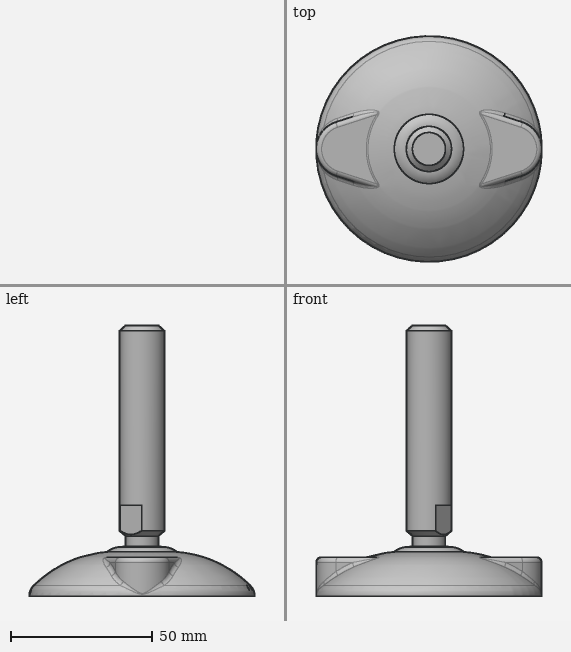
import cadquery as cq
import math

plate_radius = 40.0
rim_bulge_radius, rim_bulge_height = 39.5, 2.2
dome_foot_radius, dome_foot_height = 38.2, 4.0
collar_foot_radius, collar_foot_height = 12.3, 15.8
collar_shoulder_radius, collar_shoulder_height = 10.3, 17.1
collar_top_radius, collar_top_height = 6.7, 17.5

lug_count = 2
lug_top = 13.9
lug_dome_radius = 22.0
lug_nose_radius = 10.0
lug_nose_reach = 39.9
lug_flare_angle = math.radians(18)
lug_inner_x = 11.5
lug_edge_fillet = 1.8
lug_root_fillet = 1.9

stud_diameter = 16.0
neck_diameter = 11.7
ball_diameter = 17.0
ball_flat_diameter = 13.4
ball_flat_height = 17.8
ball_center = ball_flat_height - math.sqrt(ball_diameter**2 - ball_flat_diameter**2) / 2
stud_top = 96.0
tip_chamfer_height = 1.9
neck_top = 21.4
shank_bottom = 23.2
flat_top = 32.2
across_flats = 13.0
flat_angle = -37.0


def make_dome():
    """Revolve the disc, dome and collar outline around Z."""
    return (
        cq.Workplane("XZ")
        .lineTo(plate_radius, 0)
        .threePointArc((rim_bulge_radius, rim_bulge_height), (dome_foot_radius, dome_foot_height))
        .threePointArc((lug_dome_radius, lug_top), (collar_foot_radius, collar_foot_height))
        .threePointArc(
            (collar_shoulder_radius, collar_shoulder_height),
            (collar_top_radius, collar_top_height),
        )
        .lineTo(0, collar_top_height)
        .close()
        .revolve(360, (0, 0, 0), (0, 1, 0))
    )


def make_lug():
    """Lug on the +X side, with its nose just inside the plate edge."""
    nose_center = lug_nose_reach - lug_nose_radius
    tangent_x = nose_center + lug_nose_radius * math.sin(lug_flare_angle)
    tangent_y = lug_nose_radius * math.cos(lug_flare_angle)
    inner_y = tangent_y + (tangent_x - lug_inner_x) * math.tan(lug_flare_angle)
    return (
        cq.Workplane("XY")
        .moveTo(lug_inner_x, -inner_y)
        .lineTo(tangent_x, -tangent_y)
        .threePointArc((lug_nose_reach, 0), (tangent_x, tangent_y))
        .lineTo(lug_inner_x, inner_y)
        .close()
        .extrude(lug_top)
        .faces(">Z")
        .edges("not <X")
        .fillet(lug_edge_fillet)
    )


def add_lug(plate):
    """Join a lug to the plate and blend the edge where its walls meet the dome and the rim."""
    joined = plate.union(make_lug())
    edge_margin = 0.1
    region = cq.selectors.BoxSelector(
        (lug_inner_x, -plate_radius, edge_margin), (plate_radius, plate_radius, lug_top - edge_margin)
    )
    root_edges = joined.edges(region).edges("%BSPLINE")
    return root_edges.fillet(lug_root_fillet)


def make_socket():
    """Spherical hollow that the ball of the stud fills."""
    return cq.Workplane("XY").sphere(ball_diameter / 2).translate((0, 0, ball_center))


def make_plate():
    """Dome with its lugs and the ball socket."""
    plate = make_dome()
    for _ in range(lug_count):
        plate = add_lug(plate).rotate((0, 0, 0), (0, 0, 1), 360 / lug_count)
    return plate.cut(make_socket())


def make_stud():
    """Ball, neck and shank in one piece, with two wrench flats above the neck."""
    shank_radius = stud_diameter / 2
    ball_radius = ball_diameter / 2
    neck_radius = neck_diameter / 2
    stud = (
        cq.Workplane("XZ")
        .moveTo(0, ball_center - ball_radius)
        .threePointArc((ball_radius, ball_center), (ball_flat_diameter / 2, ball_flat_height))
        .lineTo(neck_radius, ball_flat_height)
        .lineTo(neck_radius, neck_top)
        .lineTo(shank_radius, shank_bottom)
        .lineTo(shank_radius, stud_top - tip_chamfer_height)
        .lineTo(neck_radius, stud_top)
        .lineTo(0, stud_top)
        .close()
        .revolve(360, (0, 0, 0), (0, 1, 0))
    )
    cutter = (
        cq.Workplane("XY")
        .box(stud_diameter, stud_diameter, flat_top - neck_top, centered=(False, True, False))
        .translate((across_flats / 2, 0, neck_top))
    )
    for turn in (0, 180):
        stud = stud.cut(cutter.rotate((0, 0, 0), (0, 0, 1), flat_angle + turn))
    return stud


plate = make_plate()
stud = make_stud()
result = cq.Compound.makeCompound([plate.val(), stud.val()])